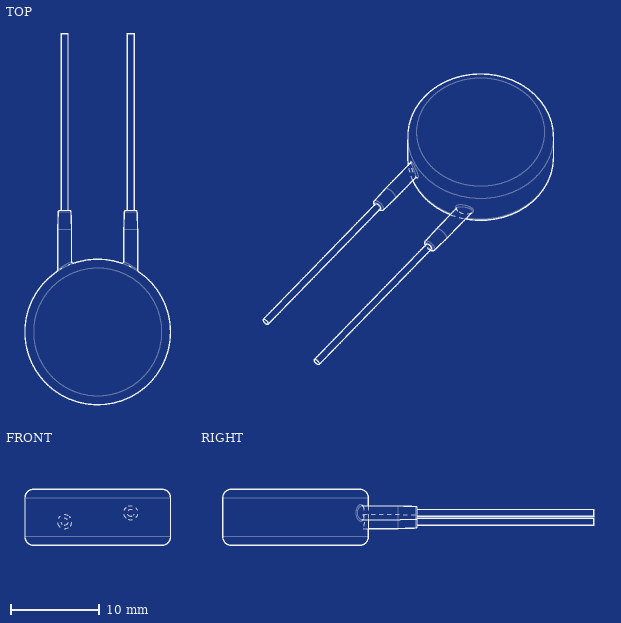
import cadquery as cq

body_diameter = 16.5
body_height = 6.4
body_edge_radius = 1.0

overall_length = 42.0
lead_spacing = 7.48
lead_height_offset = 0.5
wire_diameter = 0.8
wire_length = 20.0

sleeve_diameter = 1.6
sleeve_tip_diameter = 1.45
sleeve_taper_length = 2.2
sleeve_tip_radius = 0.15
sleeve_root_fillet = 0.15

body_radius = body_diameter / 2
wire_end = overall_length - body_radius
sleeve_end = wire_end - wire_length
taper_start = sleeve_end - sleeve_taper_length
lead_root = body_radius / 2


def make_body():
    disc = cq.Workplane("XY").circle(body_radius).extrude(body_height).translate((0, 0, -body_height / 2))
    return disc.edges("%CIRCLE").fillet(body_edge_radius)


def make_lead(x, z):
    """Sleeve with a slightly tapered tip and a thin wire, revolved about the lead axis."""
    profile = (
        cq.Workplane("XY")
        .moveTo(0, lead_root)
        .lineTo(sleeve_diameter / 2, lead_root)
        .lineTo(sleeve_diameter / 2, taper_start)
        .lineTo(sleeve_tip_diameter / 2, sleeve_end - sleeve_tip_radius)
        .radiusArc((sleeve_tip_diameter / 2 - sleeve_tip_radius, sleeve_end), -sleeve_tip_radius)
        .lineTo(wire_diameter / 2, sleeve_end)
        .lineTo(wire_diameter / 2, wire_end)
        .lineTo(0, wire_end)
        .close()
    )
    return profile.revolve(360, (0, 0, 0), (0, 1, 0)).translate((x, 0, z))


result = make_body()
for side in (-1, 1):
    lead = make_lead(side * lead_spacing / 2, side * lead_height_offset)
    result = result.union(lead)

joint_reach = sleeve_diameter
joint_zone = cq.selectors.BoxSelector(
    (-body_radius, body_radius - joint_reach, -joint_reach / 2),
    (body_radius, body_radius, joint_reach / 2),
)
result = result.edges(joint_zone).edges("not %LINE").fillet(sleeve_root_fillet)